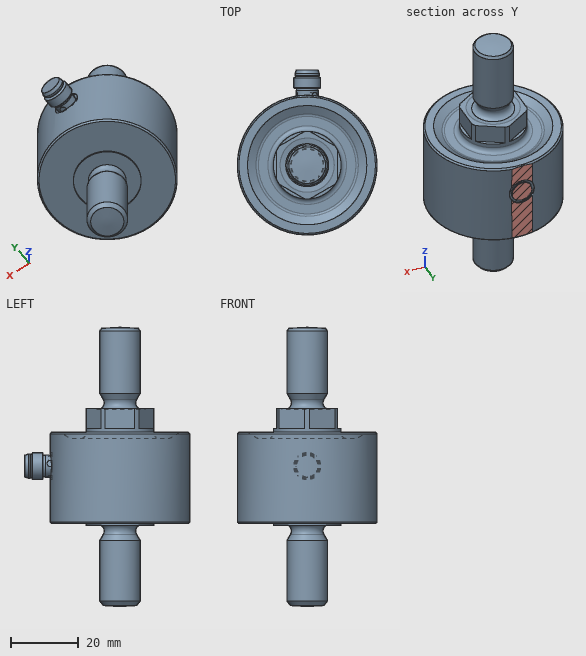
import cadquery as cq
import math

body_diameter = 41.3
body_height = 27.0
body_chamfer = 0.5

recess_rim_diameter = 35.2
recess_cone_diameter = 30.2
recess_cone_slope = math.radians(33)
membrane_diameter = 28.8
recess_cone_width = (recess_rim_diameter - recess_cone_diameter) / 2
recess_cone_bottom = body_height - recess_cone_width * math.tan(recess_cone_slope)
recess_fillet = (recess_cone_diameter - membrane_diameter) / 2 / math.sin(recess_cone_slope)
membrane_z = recess_cone_bottom - recess_fillet * (1 - math.cos(recess_cone_slope))

collar_diameter = 20.0
collar_rise = 1.1
collar_top = body_height + collar_rise
collar_fillet = 1.6
base_disc_height = 0.5

stud_diameter = 12.0
neck_diameter = 9.4
undercut_radius = 2.0
undercut_slope = math.radians(30)
foot_slope = math.radians(10)
stud_cone_height = 0.3
upper_stud_tip = 58.0
upper_stud_tip_diameter = 10.8
upper_stud_chamfer = 0.8
lower_stud_tip = -24.5
lower_stud_tip_diameter = 9.8
lower_stud_chamfer = 1.3

undercut_center_radius = neck_diameter / 2 + undercut_radius
foot_radius = undercut_center_radius - undercut_radius * math.sin(foot_slope)

hex_sides = 6
hex_across_flats = 18.0
hex_top = 34.0
hex_dish_diameter = 16.0
hex_dish_depth = (hex_dish_diameter / 2 - foot_radius) * math.tan(foot_slope)

upper_stud_foot = hex_top - hex_dish_depth
lower_stud_foot = hex_dish_depth - base_disc_height

plug_z = 17.0
plug_tip_y = 28.15
plug_tip_diameter = 6.4
plug_bead_diameter = 7.2
plug_groove_diameter = 6.6
plug_nut_diameter = 8.0
plug_neck_diameter = 6.6
plug_neck_groove_diameter = 6.4
plug_bead_start = 27.05
plug_bead_end = 26.5
plug_groove_y = 26.2
plug_nut_end = 25.75
plug_nut_start = 22.9
plug_nut_chamfer = 0.2
plug_neck_end = 22.0
plug_seat_diameter = 8.0
plug_seat_y = 20.0

dimple_count = 3
dimple_diameter = 2.0
dimple_depth = 0.15
dimple_y = 20.5
dimple_start_angle = 46.0


def make_body():
    body = cq.Workplane("XY").circle(body_diameter / 2).extrude(body_height)
    body = body.faces("<Z or >Z").chamfer(body_chamfer)
    recess = (
        cq.Workplane("XZ")
        .moveTo(0, body_height)
        .lineTo(recess_rim_diameter / 2, body_height)
        .lineTo(recess_cone_diameter / 2, recess_cone_bottom)
        .radiusArc((membrane_diameter / 2, membrane_z), recess_fillet)
        .lineTo(0, membrane_z)
        .close()
        .revolve(360, (0, 0), (0, 1))
    )
    return body.cut(recess)


def make_collar():
    """Collar rising from the membrane through a fillet."""
    radius = collar_diameter / 2
    return (
        cq.Workplane("XZ")
        .moveTo(0, membrane_z)
        .lineTo(radius + collar_fillet, membrane_z)
        .radiusArc((radius, membrane_z + collar_fillet), collar_fillet)
        .lineTo(radius, collar_top)
        .lineTo(0, collar_top)
        .close()
        .revolve(360, (0, 0), (0, 1))
    )


def make_hexagon():
    hex_height = hex_top - collar_top
    half_side_angle = 180 / hex_sides
    across_corners = hex_across_flats / math.cos(math.radians(half_side_angle))
    plane = cq.Workplane("XY").workplane(offset=collar_top)
    turned_plane = plane.transformed(rotate=(0, 0, half_side_angle))
    hexagon = turned_plane.polygon(hex_sides, across_corners).extrude(hex_height)
    hexagon = hexagon.intersect(plane.circle(collar_diameter / 2).extrude(hex_height))
    dish = (
        cq.Workplane("XZ")
        .moveTo(0, hex_top)
        .lineTo(hex_dish_diameter / 2, hex_top)
        .lineTo(foot_radius, upper_stud_foot)
        .lineTo(0, upper_stud_foot)
        .close()
        .revolve(360, (0, 0), (0, 1))
    )
    return hexagon.cut(dish)


def make_stud(foot_z, tip_z, tip_diameter, chamfer_height):
    """Stud from foot_z to tip_z, pointing up or down."""
    length = abs(tip_z - foot_z)
    shoulder = length - stud_cone_height
    stud_radius = stud_diameter / 2
    neck_radius = neck_diameter / 2
    neck_height = undercut_radius * math.cos(foot_slope)
    cone_start_radius = undercut_center_radius - undercut_radius * math.cos(undercut_slope)
    cone_start = neck_height + undercut_radius * math.sin(undercut_slope)
    cone_end = cone_start + (stud_radius - cone_start_radius) / math.tan(undercut_slope)
    stud = (
        cq.Workplane("XZ")
        .lineTo(foot_radius, 0)
        .radiusArc((neck_radius, neck_height), undercut_radius)
        .radiusArc((cone_start_radius, cone_start), undercut_radius)
        .lineTo(stud_radius, cone_end)
        .lineTo(stud_radius, shoulder - chamfer_height)
        .lineTo(tip_diameter / 2, shoulder)
        .lineTo(0, length)
        .close()
        .revolve(360, (0, 0), (0, 1))
    )
    if tip_z < foot_z:
        stud = stud.mirror("XY")
    return stud.translate((0, 0, foot_z))


def make_base_disc():
    return cq.Workplane("XY").circle(collar_diameter / 2).extrude(-base_disc_height)


def make_plug():
    """Connector turned about a Y axis at height plug_z."""
    nut_radius = plug_nut_diameter / 2
    plug = (
        cq.Workplane("XY")
        .moveTo(0, plug_seat_y)
        .lineTo(plug_neck_diameter / 2, plug_seat_y)
        .lineTo(plug_neck_diameter / 2, plug_neck_end)
        .lineTo(plug_neck_groove_diameter / 2, plug_neck_end)
        .lineTo(plug_neck_groove_diameter / 2, plug_nut_start - plug_nut_chamfer)
        .lineTo(nut_radius - plug_nut_chamfer, plug_nut_start - plug_nut_chamfer)
        .lineTo(nut_radius, plug_nut_start)
        .lineTo(nut_radius, plug_nut_end)
        .lineTo(plug_groove_diameter / 2, plug_groove_y)
        .lineTo(plug_bead_diameter / 2, plug_bead_end)
        .lineTo(plug_bead_diameter / 2, plug_bead_start)
        .lineTo(plug_tip_diameter / 2, plug_tip_y)
        .lineTo(0, plug_tip_y)
        .close()
        .revolve(360, (0, 0), (0, 1))
    )
    neck_radius = plug_neck_diameter / 2
    for index in range(dimple_count):
        angle = dimple_start_angle + index * 360 / dimple_count
        dimple = (
            cq.Workplane("YZ")
            .workplane(offset=neck_radius - dimple_depth)
            .center(dimple_y, 0)
            .circle(dimple_diameter / 2)
            .extrude(2 * dimple_depth)
            .rotate((0, 0, 0), (0, 1, 0), -angle)
        )
        plug = plug.cut(dimple)
    return plug.translate((0, 0, plug_z))


def make_plug_seat():
    """Spot face in the body wall around the connector."""
    return (
        cq.Workplane("XZ", origin=(0, plug_seat_y, plug_z))
        .circle(plug_seat_diameter / 2)
        .extrude(-(body_diameter / 2 - plug_seat_y))
    )


result = (
    make_body()
    .cut(make_plug_seat())
    .union(make_collar())
    .union(make_hexagon())
    .union(make_stud(upper_stud_foot, upper_stud_tip, upper_stud_tip_diameter, upper_stud_chamfer))
    .union(make_base_disc())
    .union(make_stud(lower_stud_foot, lower_stud_tip, lower_stud_tip_diameter, lower_stud_chamfer))
    .union(make_plug())
)